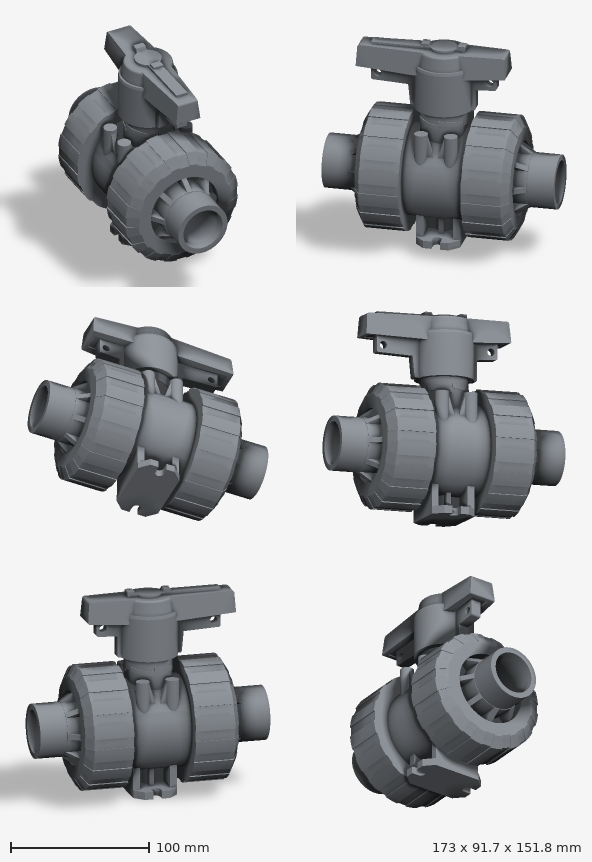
import cadquery as cq

overall_length = 173.0
bore_radius = 16.0
pipe_radius = 20.0
pipe_start_x = 66.0
neck_radius = 20.5
flange_radius = 34.0
barrel_half_length = 45.0
flange_face_x = 49.7
rib_count = 8
rib_thickness = 4.0
rib_slope = 0.66

nut_radius = 46.0
nut_inner_x = 23.2
nut_outer_x = 57.8
nut_chamfer_length = 4.8
nut_chamfer_depth = 8.1
nut_opening_radius = 27.5
groove_count = 16
groove_width = 7.8
groove_floor = 45.0

collar_radius = 17.6
collar_top_z = 67.5
collar_flat_x = 16.1
front_flat_top_z = 42.7
rear_flat_top_z = 39.8
ramp_count = 4
ramp_radius = 18.2
ramp_height = 3.3
ramp_drop = 3.5
ramp_end_z = 39.8
ramp_embed = 0.9

post_radius = 5.0
post_x = 11.0
post_y = 25.0
post_top_z = 38.8
gusset_thickness = 3.0
gusset_top_z = 38.0
gusset_reach = 9.3
gusset_toe_z = 21.6
gusset_slope = 0.31
side_gusset_x = 13.0
side_gusset_toe_y = 18.2
side_gusset_toe_z = 28.9

foot_bottom_z = -50.9
foot_top_z = -45.2
foot_half_x = 16.5
foot_half_y = 26.0
foot_chamfer = 7.0
notch_radius = 3.3
notch_depth = 8.6
leg_half_y = 18.7
leg_thickness = 5.2
web_thickness = 3.6
boss_radius = 5.5
foot_rib_half_y = 10.0

skirt_radius = 21.8
skirt_bottom_z = 51.7
skirt_top_z = 85.6
skirt_rim_radius = 21.3
skirt_rim_height = 2.0
hub_bottom_radius = 19.7
hub_top_radius = 17.8
hub_fillet = 1.7
bar_top_z = 96.5
bar_end_z = 80.6
bar_mid_z = 78.9
bar_fillet = 1.7
bar_lip_fillet = 0.9
bar_top_left_x = -46.9
bar_top_right_x = 62.6
bar_bottom_left_x = -48.3
bar_bottom_right_x = 63.7
bar_top_half_widths = (9.2, 12.3, 8.0)
bar_bottom_half_widths = (11.0, 14.4, 10.0)
channel_half_width = 6.2
bar_end_wall = 3.5

plate_thickness = 8.0
plate_left_x = -40.0
plate_right_x = 53.5
plate_end_z = 68.9
plate_step_z = 67.6
plate_tail_x = 24.2
plate_tail_right_x = 25.8
plate_root_z = 86.5
plate_fillet = 1.4
plate_hole_radius = 2.8
plate_hole_z = 74.2
plate_hole_left_x = -35.0
plate_hole_right_x = 48.5
slit_width = 0.9
slit_top_z = 81.3

cap_radius = 10.0
cap_top_z = 98.6
cap_overlap = 1.7
pointer_width = 9.0
pad_top_z = 100.9
pad_width = 8.0
pad_outer_x = 16.5
pad_inner_x = 11.0
pad_fillet = 0.7


def cylinder_x(radius, start_x, end_x):
    return cq.Workplane("YZ", origin=(start_x, 0, 0)).circle(radius).extrude(end_x - start_x)


def cylinder_z(radius, bottom_z, top_z):
    return cq.Workplane("XY", origin=(0, 0, bottom_z)).circle(radius).extrude(top_z - bottom_z)


def cone_z(bottom_radius, top_radius, bottom_z, top_z):
    cone = cq.Workplane("XY", origin=(0, 0, bottom_z)).circle(bottom_radius)
    return cone.workplane(offset=top_z - bottom_z).circle(top_radius).loft()


def block(min_corner, max_corner):
    size = [high - low for low, high in zip(min_corner, max_corner)]
    return cq.Workplane("XY").box(*size, centered=False).translate(tuple(min_corner))


def plate_xz(points, thickness, center_y=0.0):
    """Flat plate with an outline in X and Z, centred on the given Y."""
    plane = cq.Workplane("XZ", origin=(0, center_y, 0))
    return plane.polyline(points).close().extrude(thickness / 2, both=True)


def plate_yz(points, thickness, center_x):
    """Flat plate with an outline in Y and Z, centred on the given X."""
    plane = cq.Workplane("YZ", origin=(center_x, 0, 0))
    return plane.polyline(points).close().extrude(thickness / 2, both=True)


def nut_profile(outer_distance):
    """Closed half section along X, from the pipe axis out to a chamfered rim."""
    return [
        (nut_inner_x, 0),
        (nut_inner_x, outer_distance),
        (nut_outer_x - nut_chamfer_length, outer_distance),
        (nut_outer_x, outer_distance - nut_chamfer_depth),
        (nut_outer_x, 0),
    ]


def make_nut():
    """Nut on the +X side."""
    rim = nut_profile(nut_radius)
    nut = cq.Workplane("XY").polyline(rim).close().revolve(360, (0, 0, 0), (1, 0, 0))
    grooved = plate_xz(nut_profile(groove_floor), groove_width)
    slab = block((nut_inner_x, -groove_width / 2, 0), (nut_outer_x, groove_width / 2, nut_radius))
    groove = slab.cut(grooved)
    for index in range(groove_count):
        nut = nut.cut(groove.rotate((0, 0, 0), (1, 0, 0), index * 360 / groove_count))
    nut = nut.cut(cylinder_x(flange_radius, nut_inner_x, flange_face_x))
    return nut.cut(cylinder_x(nut_opening_radius, flange_face_x, nut_outer_x))


def make_connector():
    """Flanged pipe end on the +X side."""
    connector = cylinder_x(flange_radius, barrel_half_length, flange_face_x)
    connector = connector.union(cylinder_x(neck_radius, flange_face_x, pipe_start_x))
    connector = connector.union(cylinder_x(pipe_radius, pipe_start_x, overall_length / 2))
    rib_crest_x = pipe_start_x - (nut_opening_radius - neck_radius) / rib_slope
    rib_outline = [
        (barrel_half_length, bore_radius),
        (barrel_half_length, nut_opening_radius),
        (rib_crest_x, nut_opening_radius),
        (pipe_start_x, neck_radius),
        (pipe_start_x, bore_radius),
    ]
    rib = plate_xz(rib_outline, rib_thickness)
    rib = rib.intersect(cylinder_x(nut_opening_radius, barrel_half_length, pipe_start_x))
    for index in range(rib_count):
        connector = connector.union(rib.rotate((0, 0, 0), (1, 0, 0), index * 360 / rib_count))
    return connector.cut(cylinder_x(bore_radius, barrel_half_length, overall_length / 2))


def make_ramps():
    """Helical cam ledges around the stem collar, trimmed by its two flats."""
    pitch = ramp_drop * ramp_count
    inner_radius = collar_radius - ramp_embed
    path = cq.Wire.makeHelix(pitch, ramp_drop, inner_radius, lefthand=True)
    section = cq.Workplane("XZ").center(inner_radius, 0)
    section = section.rect(ramp_radius - inner_radius, ramp_height, centered=False)
    ramp = section.sweep(path, isFrenet=True).translate((0, 0, ramp_end_z))
    between_flats = block((-collar_flat_x, -ramp_radius, 0), (collar_flat_x, ramp_radius, collar_top_z))
    ramps = []
    for index in range(ramp_count):
        turned = ramp.rotate((0, 0, 0), (0, 0, 1), index * 360 / ramp_count)
        ramps.append(turned.intersect(between_flats))
    return ramps


def make_collar():
    collar = cylinder_z(collar_radius, 0, collar_top_z)
    for side in (-1, 1):
        near, far = sorted((side * collar_flat_x, side * ramp_radius))
        collar = collar.cut(block((near, -ramp_radius, 0), (far, 0, front_flat_top_z)))
        collar = collar.cut(block((near, 0, 0), (far, ramp_radius, rear_flat_top_z)))
    for ramp in make_ramps():
        collar = collar.union(ramp)
    return collar


def make_posts():
    post = cylinder_z(post_radius, 0, post_top_z).translate((post_x, post_y, 0))
    toe_x = post_x - gusset_reach
    top_x = toe_x + (gusset_top_z - gusset_toe_z) * gusset_slope
    gusset = [
        (post_x, 0),
        (post_x, gusset_top_z),
        (top_x, gusset_top_z),
        (toe_x, gusset_toe_z),
        (toe_x, 0),
    ]
    top_y = side_gusset_toe_y + (gusset_top_z - side_gusset_toe_z) * gusset_slope
    side_gusset = [
        (post_y, 0),
        (post_y, gusset_top_z),
        (top_y, gusset_top_z),
        (side_gusset_toe_y, side_gusset_toe_z),
        (side_gusset_toe_y, 0),
    ]
    post = post.union(plate_xz(gusset, gusset_thickness, post_y))
    post = post.union(plate_yz(side_gusset, gusset_thickness, side_gusset_x))
    pair = post.union(post.mirror("YZ"))
    return pair.union(pair.mirror("XZ"))


def make_foot():
    foot = block((-foot_half_x, -foot_half_y, foot_bottom_z), (foot_half_x, foot_half_y, foot_top_z))
    foot = foot.edges("|Z").chamfer(foot_chamfer)
    notch_center_y = foot_half_y - notch_depth + notch_radius
    notch = cylinder_z(notch_radius, foot_bottom_z, foot_top_z).translate((0, notch_center_y, 0))
    notch = notch.union(
        block((-notch_radius, notch_center_y, foot_bottom_z), (notch_radius, foot_half_y, foot_top_z))
    )
    foot = foot.cut(notch).cut(notch.mirror("XZ"))
    leg = block((foot_half_x - leg_thickness, -leg_half_y, foot_top_z), (foot_half_x, leg_half_y, 0))
    web = block((-foot_half_x, -web_thickness / 2, foot_top_z), (foot_half_x, web_thickness / 2, 0))
    rib = block((-web_thickness / 2, -foot_rib_half_y, foot_top_z), (web_thickness / 2, foot_rib_half_y, 0))
    boss = cylinder_z(boss_radius, foot_top_z, 0)
    return foot.union(leg).union(leg.mirror("YZ")).union(web).union(rib).union(boss)


def make_body():
    body = cylinder_x(flange_radius, -barrel_half_length, barrel_half_length)
    body = body.union(make_collar()).union(make_posts()).union(make_foot())
    return body.cut(cylinder_x(bore_radius, -barrel_half_length, barrel_half_length))


def bar_outline(left_x, right_x, half_widths):
    """Long hexagon, widest at the stem axis."""
    left, middle, right = half_widths
    return [(left_x, -left), (0, -middle), (right_x, -right), (right_x, right), (0, middle), (left_x, left)]


def make_channel(half_width):
    """Lengthwise cutter under the handle that stops short of the bar's end faces."""
    left_x = bar_bottom_left_x + bar_end_wall
    right_x = bar_bottom_right_x - bar_end_wall
    return block((left_x, -half_width, skirt_bottom_z), (right_x, half_width, slit_top_z))


def make_bar():
    bottom = bar_outline(bar_bottom_left_x, bar_bottom_right_x, bar_bottom_half_widths)
    top = bar_outline(bar_top_left_x, bar_top_right_x, bar_top_half_widths)
    bar = cq.Workplane("XY", origin=(0, 0, bar_mid_z)).polyline(bottom).close()
    bar = bar.workplane(offset=bar_top_z - bar_mid_z).polyline(top).close().loft(ruled=True)
    bar = bar.faces(">Z").edges("<X or >X").fillet(bar_fillet)
    for end_x, tip_x in ((-skirt_radius, bar_bottom_left_x), (skirt_radius, bar_bottom_right_x)):
        underside = [(end_x, bar_mid_z), (tip_x, bar_end_z), (tip_x, bar_mid_z)]
        bar = bar.cut(plate_xz(underside, 2 * skirt_radius))
    bar = bar.faces("<X or >X").edges("<Z").fillet(bar_lip_fillet)
    return bar.cut(make_channel(channel_half_width))


def make_plate():
    outline = [
        (plate_left_x, plate_root_z),
        (plate_left_x, plate_end_z),
        (-plate_tail_x, plate_step_z),
        (-plate_tail_x, skirt_bottom_z),
        (plate_tail_x, skirt_bottom_z),
        (plate_tail_right_x, plate_step_z),
        (plate_right_x, plate_end_z),
        (plate_right_x, plate_root_z),
    ]
    plate = plate_xz(outline, plate_thickness)
    plate = plate.edges("|Y").edges("<X or >X or <Z").fillet(plate_fillet)
    hole_centers = [(plate_hole_left_x, plate_hole_z), (plate_hole_right_x, plate_hole_z)]
    holes = cq.Workplane("XZ").pushPoints(hole_centers)
    return plate.cut(holes.circle(plate_hole_radius).extrude(plate_thickness, both=True))


def make_handle():
    rim_z = skirt_top_z - skirt_rim_height
    skirt = cylinder_z(skirt_radius, skirt_bottom_z, rim_z)
    skirt = skirt.union(cone_z(skirt_radius, skirt_rim_radius, rim_z, skirt_top_z))
    hub = cone_z(hub_bottom_radius, hub_top_radius, skirt_top_z, bar_top_z)
    hub = hub.faces(">Z").edges().fillet(hub_fillet)
    slot = make_channel(plate_thickness / 2 + slit_width)
    handle = skirt.union(make_bar()).union(hub).cut(slot).union(make_plate())
    handle = handle.cut(cylinder_z(collar_radius, skirt_bottom_z, collar_top_z))
    cap = cylinder_z(cap_radius, bar_top_z, cap_top_z)
    cap_inset_x = cap_radius - cap_overlap
    pointer_half = pointer_width / 2
    pointer = block((cap_inset_x, -pointer_half, bar_top_z), (plate_right_x, pointer_half, cap_top_z))
    pad_outline = [
        (cap_inset_x, bar_top_z),
        (pad_outer_x, bar_top_z),
        (pad_outer_x, pad_top_z),
        (pad_inner_x, pad_top_z),
        (cap_radius, cap_top_z),
        (cap_inset_x, cap_top_z),
    ]
    pad = plate_xz(pad_outline, pad_width)
    pad = pad.faces(">X").edges(">Z").fillet(pad_fillet)
    top_details = cap.union(pointer).union(pad).union(pad.mirror("YZ"))
    return handle.union(top_details)


body = make_body()
handle = make_handle()
right_nut = make_nut()
right_connector = make_connector()
nuts = [right_nut, right_nut.mirror("YZ")]
connectors = [right_connector, right_connector.mirror("YZ")]
result = cq.Compound.makeCompound([part.solids().val() for part in [body, handle, *nuts, *connectors]])